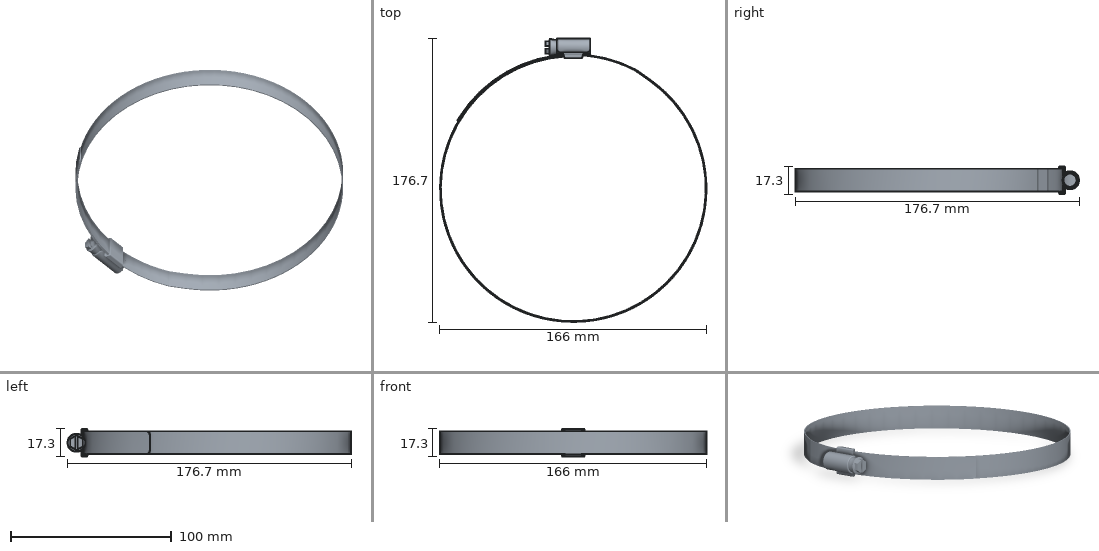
import cadquery as cq
import math


BAND_RADIUS = 83.0
BAND_THICKNESS = 0.62
BAND_WIDTH = 14.3
LAP_GAP = 0.09
LAP_RISE = BAND_THICKNESS + LAP_GAP
RAMP_START_ANGLE = 55.0
RAMP_ANGLE = math.degrees(math.acos(BAND_RADIUS / (BAND_RADIUS + LAP_RISE)))
TAIL_ANGLE = 149.5
TAIL_CORNER_RADIUS = 2.1
PINHOLE_DIAMETER = 0.7
PINHOLE_X = 9.2

SCREW_AXIS_Y = 88.0
COLLAR_RADIUS = 5.5
COLLAR_X = -14.5
NECK_MIDDLE_X = -12.4
NECK_MIDDLE_RADIUS = 5.0
NECK_END_RADIUS = 4.8
SHANK_RADIUS = 4.0
HEX_FRONT_X = -17.3
SLOT_FLOOR_X = -15.0
HEX_ACROSS_FLATS = 8.0
SLOT_WIDTH = 1.6

SHEET = 0.9
HOUSING_LEFT_X = -10.3
HOUSING_RIGHT_X = 10.6
HOUSING_LENGTH = HOUSING_RIGHT_X - HOUSING_LEFT_X
CAP_RADIUS = 5.7
CAVITY_RADIUS = CAP_RADIUS - SHEET
CAP_END_ROUND = 0.5
CAP_CORNER_RADIUS = 2.1
STRAP_TOP_Y = 85.0
STRAP_BOTTOM_Y = 81.1
STRAP_HEIGHT = STRAP_TOP_Y - STRAP_BOTTOM_Y
STRAP_WIDTH = 17.3
STRAP_TOP_HALF_LENGTH = 7.0
STRAP_BOTTOM_HALF_LENGTH = 5.3
STRAP_BEND_RADIUS = 0.9
STRAP_FLOOR = 1.5

INNER_END_ANGLE = math.degrees(math.acos(STRAP_BOTTOM_HALF_LENGTH / BAND_RADIUS))


def polar(radius, degrees):
    angle = math.radians(degrees)
    return (radius * math.cos(angle), radius * math.sin(angle))


def make_band():
    outer = BAND_RADIUS
    inner = BAND_RADIUS - BAND_THICKNESS
    ramp_end = RAMP_START_ANGLE + RAMP_ANGLE
    loop_middle = (INNER_END_ANGLE + RAMP_START_ANGLE + 360) / 2
    lap_middle = (ramp_end + TAIL_ANGLE) / 2
    band = (
        cq.Workplane("XY")
        .moveTo(*polar(outer, INNER_END_ANGLE))
        .threePointArc(polar(outer, loop_middle), polar(outer, RAMP_START_ANGLE))
        .lineTo(*polar(outer + LAP_RISE, ramp_end))
        .threePointArc(polar(outer + LAP_RISE, lap_middle), polar(outer + LAP_RISE, TAIL_ANGLE))
        .lineTo(*polar(inner + LAP_RISE, TAIL_ANGLE))
        .threePointArc(polar(inner + LAP_RISE, lap_middle), polar(inner + LAP_RISE, ramp_end))
        .lineTo(*polar(inner, RAMP_START_ANGLE))
        .threePointArc(polar(inner, loop_middle), polar(inner, INNER_END_ANGLE))
        .close()
        .extrude(BAND_WIDTH / 2, both=True)
    )

    tail_x, tail_y = polar(outer + LAP_RISE - BAND_THICKNESS / 2, TAIL_ANGLE)
    reach = BAND_THICKNESS / 4
    tail_edges = cq.selectors.BoxSelector(
        (tail_x - reach, tail_y - reach, -BAND_WIDTH),
        (tail_x + reach, tail_y + reach, BAND_WIDTH),
    )
    band = band.faces("|Z").edges(tail_edges).fillet(TAIL_CORNER_RADIUS)

    pinhole = (
        cq.Workplane("XZ", origin=(PINHOLE_X, 0, 0))
        .circle(PINHOLE_DIAMETER / 2)
        .extrude(-(BAND_RADIUS + LAP_RISE))
    )
    return band.cut(pinhole)


def make_cap():
    """Round tunnel over the screw, open at both ends and towards the band."""
    cap = (
        cq.Workplane("YZ", origin=(HOUSING_LEFT_X, SCREW_AXIS_Y, 0))
        .circle(CAP_RADIUS)
        .extrude(HOUSING_LENGTH)
        .faces("<X or >X")
        .edges()
        .fillet(CAP_END_ROUND)
    )
    middle_x = (HOUSING_LEFT_X + HOUSING_RIGHT_X) / 2
    height = SCREW_AXIS_Y + CAP_RADIUS - STRAP_TOP_Y
    outline = (
        cq.Workplane("XY", origin=(middle_x, STRAP_TOP_Y + height / 2, 0))
        .rect(HOUSING_LENGTH, height)
        .extrude(CAP_RADIUS, both=True)
        .edges("|Z and <Y")
        .fillet(CAP_CORNER_RADIUS)
    )
    return cap.intersect(outline)


def make_strap():
    """Closed sheet loop around the band, narrowing towards the inside of the clamp."""
    middle_y = (STRAP_TOP_Y + STRAP_BOTTOM_Y) / 2
    strap = (
        cq.Workplane("YZ", origin=(0, middle_y, 0))
        .rect(STRAP_HEIGHT, STRAP_WIDTH)
        .extrude(STRAP_TOP_HALF_LENGTH, both=True)
        .edges("|X")
        .fillet(STRAP_BEND_RADIUS)
    )
    opening_bottom_y = STRAP_BOTTOM_Y + STRAP_FLOOR
    opening_top_y = STRAP_TOP_Y - SHEET
    opening = (
        cq.Workplane("YZ", origin=(0, (opening_bottom_y + opening_top_y) / 2, 0))
        .rect(opening_top_y - opening_bottom_y, STRAP_WIDTH - 2 * SHEET)
        .extrude(STRAP_TOP_HALF_LENGTH, both=True)
    )
    outline = (
        cq.Workplane("XY")
        .polyline(
            [
                (-STRAP_TOP_HALF_LENGTH, STRAP_TOP_Y),
                (STRAP_TOP_HALF_LENGTH, STRAP_TOP_Y),
                (STRAP_BOTTOM_HALF_LENGTH, STRAP_BOTTOM_Y),
                (-STRAP_BOTTOM_HALF_LENGTH, STRAP_BOTTOM_Y),
            ]
        )
        .close()
        .extrude(STRAP_WIDTH / 2, both=True)
    )
    return strap.cut(opening).intersect(outline)


def make_housing(band):
    cavity = (
        cq.Workplane("YZ", origin=(HOUSING_LEFT_X, SCREW_AXIS_Y, 0))
        .circle(CAVITY_RADIUS)
        .extrude(HOUSING_LENGTH)
    )
    return make_cap().union(make_strap()).cut(cavity).cut(band)


def make_screw():
    hex_circumradius = HEX_ACROSS_FLATS / math.sqrt(3)
    turned = (
        cq.Workplane("XY", origin=(0, SCREW_AXIS_Y, 0))
        .moveTo(SLOT_FLOOR_X, 0)
        .lineTo(SLOT_FLOOR_X, HEX_ACROSS_FLATS / 2)
        .lineTo(COLLAR_X, COLLAR_RADIUS)
        .threePointArc((NECK_MIDDLE_X, NECK_MIDDLE_RADIUS), (HOUSING_LEFT_X, NECK_END_RADIUS))
        .lineTo(HOUSING_LEFT_X, SHANK_RADIUS)
        .lineTo(HOUSING_RIGHT_X, SHANK_RADIUS)
        .lineTo(HOUSING_RIGHT_X, 0)
        .close()
        .revolve(360, (0, 0, 0), (1, 0, 0))
    )
    head_plane = cq.Workplane("YZ", origin=(HEX_FRONT_X, SCREW_AXIS_Y, 0))
    hexagon = (
        head_plane.transformed(rotate=(0, 0, 90))
        .polygon(6, 2 * hex_circumradius)
        .extrude(COLLAR_X - HEX_FRONT_X)
    )
    slot = head_plane.rect(SLOT_WIDTH, 2 * COLLAR_RADIUS).extrude(SLOT_FLOOR_X - HEX_FRONT_X)
    return turned.union(hexagon).cut(slot)


band = make_band()
housing = make_housing(band)
screw = make_screw()

result = cq.Compound.makeCompound([body.solids().val() for body in (band, housing, screw)])